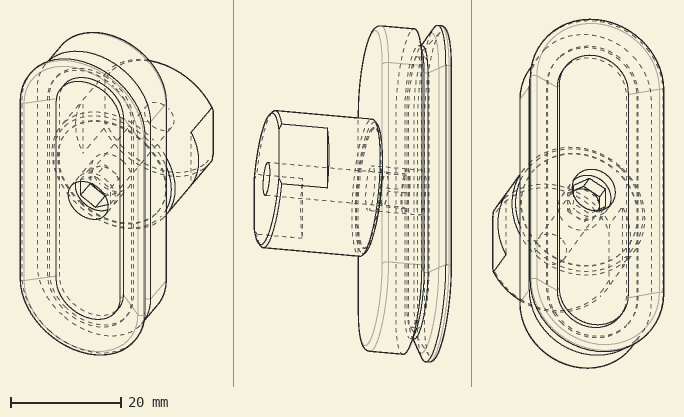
import cadquery as cq
import math

CUP_LENGTH = 65.0
CUP_WIDTH = 25.0
END_SPACING = CUP_LENGTH - CUP_WIDTH
CUP_BACK_Y = 12.55
BORE_DIAMETER = 8.1
STEM_FACE_Y = 6.0

LIP_RADIUS = CUP_WIDTH / 2
LIP_ROUND = 0.6
MOUTH_SLOPE = math.radians(40)
MOUTH_RADIUS = LIP_RADIUS - LIP_ROUND * (1 + math.sin(MOUTH_SLOPE))
MOUTH_Y = LIP_ROUND * (1 - math.cos(MOUTH_SLOPE))
FLOOR_RADIUS = 6.5
FLOOR_Y = 3.05
MOUTH_FOOT_Y = MOUTH_Y + (MOUTH_RADIUS - FLOOR_RADIUS) * math.tan(MOUTH_SLOPE)
LIP_BACK_Y = 1.2
LIP_FLARE_RADIUS = 11.0
LIP_FLARE_Y = 2.15
NECK_RADIUS = 8.5
NECK_FRONT_Y = 3.65
NECK_BACK_Y = 4.35
BODY_RADIUS = 11.5
BODY_FRONT_Y = 5.4
BODY_ROUND = 1.0

FITTING_DIAMETER = 25.0
FITTING_FRONT_Y = 12.8
FITTING_BACK_Y = 31.8
FITTING_CHAMFER = 0.5
COLLAR_DIAMETER = 22.0
FLATS_WIDTH = 22.0
FLATS_LENGTH = 9.0
HEX_ACROSS_FLATS = 6.05
HEX_DEPTH = 3.9
PASSAGE_DIAMETER = 6.0


def cylinder(diameter, start_y, end_y):
    """Round bar along +Y between two Y positions."""
    bar = cq.Workplane("XZ", origin=(0, start_y, 0)).circle(diameter / 2)
    return bar.extrude(start_y - end_y)


def cup_half_section():
    """Half of the cup's cross-section in the XY plane, from the centre line out to the lip."""
    lip_mid_angle = (math.pi / 2 + MOUTH_SLOPE) / 2
    lip_mid = (
        LIP_RADIUS - LIP_ROUND * (1 - math.cos(lip_mid_angle)),
        LIP_ROUND * (1 - math.sin(lip_mid_angle)),
    )
    back_inset = BODY_ROUND * (1 - math.sqrt(0.5))
    return (
        cq.Workplane("XY")
        .moveTo(0, FLOOR_Y)
        .lineTo(FLOOR_RADIUS, FLOOR_Y)
        .lineTo(FLOOR_RADIUS, MOUTH_FOOT_Y)
        .lineTo(MOUTH_RADIUS, MOUTH_Y)
        .threePointArc(lip_mid, (LIP_RADIUS, LIP_ROUND))
        .lineTo(LIP_RADIUS, LIP_BACK_Y)
        .lineTo(LIP_FLARE_RADIUS, LIP_FLARE_Y)
        .lineTo(NECK_RADIUS, NECK_FRONT_Y)
        .lineTo(NECK_RADIUS, NECK_BACK_Y)
        .lineTo(BODY_RADIUS, BODY_FRONT_Y)
        .lineTo(BODY_RADIUS, CUP_BACK_Y - BODY_ROUND)
        .threePointArc(
            (BODY_RADIUS - back_inset, CUP_BACK_Y - back_inset),
            (BODY_RADIUS - BODY_ROUND, CUP_BACK_Y),
        )
        .lineTo(0, CUP_BACK_Y)
        .close()
    )


def make_cup():
    """Oblong suction cup: a straight middle between two revolved ends, bored for the stem."""
    right_half = cup_half_section().extrude(END_SPACING / 2, both=True)
    cup = right_half.union(right_half.mirror("YZ"))
    lower_end = cup_half_section().revolve(180, (0, 0, 0), (0, 1, 0)).translate((0, 0, -END_SPACING / 2))
    cup = cup.union(lower_end).union(lower_end.mirror("XY"))
    return cup.cut(cylinder(BORE_DIAMETER, FLOOR_Y, CUP_BACK_Y))


def cut_wrench_flats(fitting):
    """Two parallel flats on the +X and -X sides of the fitting's back end."""
    flats_y = FITTING_BACK_Y - FLATS_LENGTH / 2
    flat_depth = (FITTING_DIAMETER - FLATS_WIDTH) / 2
    for side in (-1, 1):
        flat_x = side * (FLATS_WIDTH + flat_depth) / 2
        cutter = cq.Workplane("XY").box(flat_depth, FLATS_LENGTH, FITTING_DIAMETER)
        fitting = fitting.cut(cutter.translate((flat_x, flats_y, 0)))
    return fitting


def hex_socket():
    """Hexagonal key socket in the stem's front face, with corners at +Z and -Z."""
    corner_diameter = HEX_ACROSS_FLATS / math.cos(math.pi / 6)
    profile = cq.Workplane("XZ", origin=(0, STEM_FACE_Y, 0)).polygon(6, corner_diameter)
    return profile.extrude(-HEX_DEPTH).rotate((0, 0, 0), (0, 1, 0), 30)


def make_fitting():
    """Round connection fitting with a collar and a hollow stem that fills the cup's bore."""
    fitting = cylinder(FITTING_DIAMETER, FITTING_FRONT_Y, FITTING_BACK_Y)
    fitting = fitting.faces("<Y or >Y").edges().chamfer(FITTING_CHAMFER)
    fitting = cut_wrench_flats(fitting)
    fitting = fitting.union(cylinder(COLLAR_DIAMETER, CUP_BACK_Y, FITTING_FRONT_Y))
    fitting = fitting.union(cylinder(BORE_DIAMETER, STEM_FACE_Y, CUP_BACK_Y))
    fitting = fitting.cut(hex_socket())
    return fitting.cut(cylinder(PASSAGE_DIAMETER, STEM_FACE_Y, FITTING_BACK_Y))


cup = make_cup()
fitting = make_fitting()
result = cq.Compound.makeCompound([cup.val(), fitting.val()])